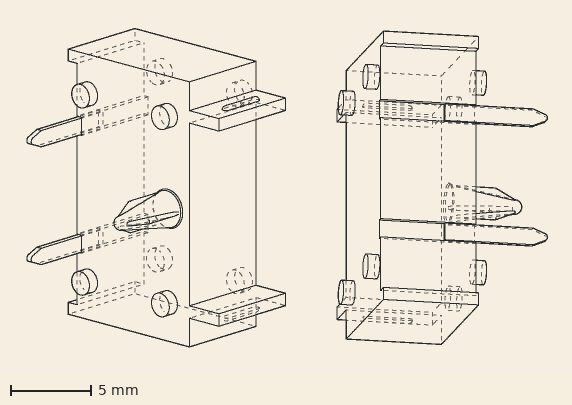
import cadquery as cq
import math


housing_height = 17.3
housing_depth = 6.1
housing_right = 10.38
lip_reach = 0.76
lip_thickness = 0.78

tab_right = 12.9
tab_thickness = 0.81
tab_center_z = 6.37
rib_radius = 0.25
rib_length = 3.18
rib_center_x = 11.89
rib_center_y = 3.1

peg_diameter = 1.52
peg_height = 0.75
peg_left_x = 1.76
peg_right_x = 8.6
peg_offset_z = 6.1

spike_x = 8.55
spike_length = 4.72
collar_base_radius = 1.26
collar_end_radius = 1.2
collar_length = 0.1
cone_base_radius = 1.16
cone_base_y = 0.25
dome_radius = 0.47
cone_length = spike_length - dome_radius
fin_count = 3
fin_radius = 1.16
fin_width = 0.3
fin_edge_radius = 0.12
fin_straight_length = 2.92

contact_offset_z = 3.84
contact_thickness = 0.38
contact_width = 1.07
contact_inner_length = 1.97
contact_length = 4.58
taper_start = 3.67
tip_arc_start = 4.38
tip_half_width = 0.25
slot_width = 1.18


def box(x_range, y_range, z_range):
    """Box spanning the given (low, high) limits along each axis."""
    (x0, x1), (y0, y1), (z0, z1) = x_range, y_range, z_range
    return cq.Workplane("XY").box(x1 - x0, y1 - y0, z1 - z0, centered=False).translate((x0, y0, z0))


def make_block():
    """Main block, recessed between the two lips on its left side."""
    half_height = housing_height / 2
    recess_half_height = half_height - lip_thickness
    depth = (0, housing_depth)
    block = box((0, housing_right), depth, (-half_height, half_height))
    return block.cut(box((0, lip_reach), depth, (-recess_half_height, recess_half_height)))


def make_tab(side):
    """Tab with its rib on the outer face; side is +1 for the upper tab and -1 for the lower."""
    center_z = side * tab_center_z
    half_thickness = tab_thickness / 2
    tab = box(
        (housing_right, tab_right),
        (0, housing_depth),
        (center_z - half_thickness, center_z + half_thickness),
    )
    straight_length = rib_length - 2 * rib_radius
    rib = (
        cq.Workplane("XZ")
        .circle(rib_radius)
        .extrude(straight_length / 2, both=True)
    )
    for end_y in (-straight_length / 2, straight_length / 2):
        rib = rib.union(cq.Workplane("XY").sphere(rib_radius).translate((0, end_y, 0)))
    rib_center_z = center_z + side * half_thickness
    return tab.union(rib.translate((rib_center_x, rib_center_y, rib_center_z)))


def make_pegs():
    """Four pegs on the front face and four on the back, on shared axes through the block."""
    peg_points = [(x, z) for x in (peg_left_x, peg_right_x) for z in (-peg_offset_z, peg_offset_z)]
    return (
        cq.Workplane("XZ", origin=(0, housing_depth + peg_height, 0))
        .pushPoints(peg_points)
        .circle(peg_diameter / 2)
        .extrude(housing_depth + 2 * peg_height)
    )


def make_spike():
    """Spike along -Y: collar, cone and dome, with fins evenly spaced from the +X direction."""
    dome_diagonal = dome_radius * math.sin(math.radians(45))
    spike = (
        cq.Workplane("XY")
        .lineTo(collar_base_radius, 0)
        .lineTo(collar_end_radius, -collar_length)
        .lineTo(cone_base_radius, -cone_base_y)
        .lineTo(dome_radius, -cone_length)
        .threePointArc((dome_diagonal, -cone_length - dome_diagonal), (0, -spike_length))
        .close()
        .revolve(360, (0, 0, 0), (0, 1, 0))
    )
    fin = (
        cq.Workplane("XY")
        .lineTo(fin_radius, 0)
        .lineTo(fin_radius, -fin_straight_length)
        .lineTo(dome_radius, -cone_length)
        .lineTo(0, -cone_length)
        .close()
        .extrude(fin_width / 2, both=True)
    )
    fin = fin.faces("|Z").edges("not(<X or <Y or >Y)").fillet(fin_edge_radius)
    for index in range(fin_count):
        spike = spike.union(fin.rotate((0, 0, 0), (0, 1, 0), index * 360 / fin_count))
    return spike.translate((spike_x, 0, 0))


def make_slot(center_z):
    """Slot along the whole depth of the left wall, as deep as a contact is thick."""
    return box(
        (lip_reach, lip_reach + contact_thickness),
        (0, housing_depth),
        (center_z - slot_width / 2, center_z + slot_width / 2),
    )


def make_housing():
    housing = make_block().union(make_pegs()).union(make_spike())
    for side in (-1, 1):
        housing = housing.union(make_tab(side))
        housing = housing.cut(make_slot(side * contact_offset_z))
    return housing


def make_contact(center_z):
    """Flat blade lying on the slot floor, tapered to a rounded tip in front of the housing."""
    half_width = contact_width / 2
    return (
        cq.Workplane("YZ", origin=(lip_reach, 0, center_z))
        .moveTo(contact_inner_length, -half_width)
        .lineTo(-taper_start, -half_width)
        .lineTo(-tip_arc_start, -tip_half_width)
        .threePointArc((-contact_length, 0), (-tip_arc_start, tip_half_width))
        .lineTo(-taper_start, half_width)
        .lineTo(contact_inner_length, half_width)
        .close()
        .extrude(contact_thickness)
    )


housing = make_housing()
contacts = [make_contact(side * contact_offset_z) for side in (-1, 1)]

result = cq.Compound.makeCompound([housing.val(), *[contact.val() for contact in contacts]])